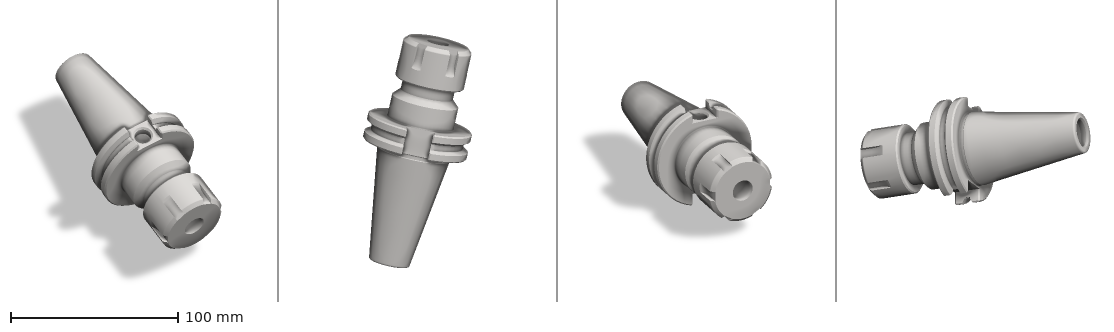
import cadquery as cq
import math

TOTAL_LENGTH = 137.4

TAPER_RATIO = 7 / 24
GAUGE_X = 68.3
GAUGE_DIA = 44.5
TAPER_END_FILLET = 1.2
RELIEF_DIA = 44.0
RELIEF_BEVEL_LENGTH = 0.4
ROOT_FILLET = 0.7

FLANGE_X = 71.3
FLANGE_WIDTH = 16.2
FLANGE_END_X = FLANGE_X + FLANGE_WIDTH
FLANGE_DIA = 63.5
FLANGE_CHAMFER = 0.8
FLANGE_MID_X = 79.4

GROOVE_MOUTH_WIDTH = 7.0
GROOVE_ROOT_WIDTH = 3.7
GROOVE_ROOT_DIA = 56.3
GROOVE_HALF_ANGLE = math.radians(30)

SLOT_WIDTH = 16.1
TOP_SLOT_FLOOR_Z = 24.6
BOTTOM_SLOT_FLOOR_Z = -22.5

DIMPLE_DIA = 10.0
DIMPLE_DEPTH = 5.4
DIMPLE_CHAMFER = 1.1
DIMPLE_TIP_DIA = 8.0
DIMPLE_TIP_ANGLE = math.radians(118)

SHANK_DIA = 40.5
SHANK_END_X = 101.1
NECK_DIA = 32.0

BORE_DIA = 13.3
PILOT_DIA = 16.5
PILOT_END_X = 4.7
COUNTERSINK_DIA = 18.0
COUNTERSINK_HALF_ANGLE = math.radians(30)

NUT_X = 112.4
NUT_DIA = 42.0
NUT_BACK_CHAMFER = 0.8
NUT_FRONT_CHAMFER = 2.3
NUT_RIM_FILLET = 0.7
NOTCH_COUNT = 6
NOTCH_WIDTH = 6.2
NOTCH_FLOOR_RADIUS = 18.4
NOTCH_FLAT_LENGTH = 7.8
NOTCH_RUNOUT_RADIUS = 13.0


def revolve_about_x(outline):
    """Turn a closed (x, radius) outline once round the X axis."""
    return cq.Workplane("XY").polyline(outline).close().revolve(360, (0, 0, 0), (1, 0, 0))


def make_core():
    """Taper, relief, shank and neck as one turned solid, with root fillets at the flange faces."""
    small_radius = (GAUGE_DIA - GAUGE_X * TAPER_RATIO) / 2
    relief_radius = RELIEF_DIA / 2
    shank_radius = SHANK_DIA / 2
    neck_radius = NECK_DIA / 2
    neck_x = SHANK_END_X + shank_radius - neck_radius
    core = (
        cq.Workplane("XY")
        .lineTo(0, small_radius)
        .lineTo(GAUGE_X, GAUGE_DIA / 2)
        .lineTo(GAUGE_X + RELIEF_BEVEL_LENGTH, relief_radius)
        .lineTo(FLANGE_X - ROOT_FILLET, relief_radius)
        .radiusArc((FLANGE_X, relief_radius + ROOT_FILLET), -ROOT_FILLET)
        .lineTo(FLANGE_END_X, shank_radius + ROOT_FILLET)
        .radiusArc((FLANGE_END_X + ROOT_FILLET, shank_radius), -ROOT_FILLET)
        .lineTo(SHANK_END_X, shank_radius)
        .lineTo(neck_x, neck_radius)
        .lineTo(TOTAL_LENGTH, neck_radius)
        .lineTo(TOTAL_LENGTH, 0)
        .close()
        .revolve(360, (0, 0, 0), (1, 0, 0))
    )
    return core.faces("<X").edges().fillet(TAPER_END_FILLET)


def make_drive_slot(floor_z):
    """Block that cuts from the slot floor out past the rim, on the side the floor lies."""
    depth = math.copysign(FLANGE_DIA / 2, floor_z)
    return (
        cq.Workplane("XY", origin=(FLANGE_X + FLANGE_WIDTH / 2, 0, floor_z))
        .rect(2 * FLANGE_WIDTH, SLOT_WIDTH)
        .extrude(depth)
    )


def make_rim_groove():
    rim_radius = FLANGE_DIA / 2
    mouth_half = GROOVE_MOUTH_WIDTH / 2
    root_half = GROOVE_ROOT_WIDTH / 2
    root_radius = GROOVE_ROOT_DIA / 2
    flank_end_radius = rim_radius - (mouth_half - root_half) / math.tan(GROOVE_HALF_ANGLE)
    return revolve_about_x([
        (FLANGE_MID_X - mouth_half, rim_radius),
        (FLANGE_MID_X - root_half, flank_end_radius),
        (FLANGE_MID_X - root_half, root_radius),
        (FLANGE_MID_X + root_half, root_radius),
        (FLANGE_MID_X + root_half, flank_end_radius),
        (FLANGE_MID_X + mouth_half, rim_radius),
    ])


def make_flange():
    flange = cq.Workplane("YZ", origin=(FLANGE_X, 0, 0)).circle(FLANGE_DIA / 2).extrude(FLANGE_WIDTH)
    for floor_z in (TOP_SLOT_FLOOR_Z, BOTTOM_SLOT_FLOOR_Z):
        flange = flange.cut(make_drive_slot(floor_z))

    face_edges = flange.faces("|X").edges("not |Y")
    slot_corners = flange.edges("|X").edges(">Z or <Z")
    flange = face_edges.add(slot_corners).chamfer(FLANGE_CHAMFER)
    return flange.cut(make_rim_groove())


def make_dimple():
    """Chamfered round hole with a narrower conical tip, sunk from the top slot floor."""
    mouth_radius = DIMPLE_DIA / 2 + DIMPLE_CHAMFER
    tip_radius = DIMPLE_TIP_DIA / 2
    bottom_z = TOP_SLOT_FLOOR_Z - DIMPLE_DEPTH
    tip_z = bottom_z - tip_radius / math.tan(DIMPLE_TIP_ANGLE / 2)
    return (
        cq.Workplane("XZ", origin=(FLANGE_MID_X, 0, 0))
        .polyline([
            (0, TOP_SLOT_FLOOR_Z),
            (mouth_radius, TOP_SLOT_FLOOR_Z),
            (DIMPLE_DIA / 2, TOP_SLOT_FLOOR_Z - DIMPLE_CHAMFER),
            (DIMPLE_DIA / 2, bottom_z),
            (tip_radius, bottom_z),
            (0, tip_z),
        ])
        .close()
        .revolve(360, (0, 0, 0), (0, 1, 0))
    )


def make_bore():
    """Through bore with a countersunk pilot at the small end of the taper."""
    countersink_depth = (COUNTERSINK_DIA - PILOT_DIA) / 2 / math.tan(COUNTERSINK_HALF_ANGLE)
    pilot_cone_length = (PILOT_DIA - BORE_DIA) / 2
    return revolve_about_x([
        (0, 0),
        (0, COUNTERSINK_DIA / 2),
        (countersink_depth, PILOT_DIA / 2),
        (PILOT_END_X, PILOT_DIA / 2),
        (PILOT_END_X + pilot_cone_length, BORE_DIA / 2),
        (TOTAL_LENGTH, BORE_DIA / 2),
        (TOTAL_LENGTH, 0),
    ])


def make_holder():
    holder = make_core().union(make_flange())
    holder = holder.cut(make_drive_slot(BOTTOM_SLOT_FLOOR_Z))
    return holder.cut(make_dimple()).cut(make_bore())


def make_notch():
    """Spanner notch at the +Z side of the nut: a flat floor with a cutter runout behind it."""
    runout_x = TOTAL_LENGTH - NOTCH_FLAT_LENGTH
    outside_radius = NOTCH_FLOOR_RADIUS + NOTCH_RUNOUT_RADIUS
    return (
        cq.Workplane("XZ")
        .moveTo(TOTAL_LENGTH, NOTCH_FLOOR_RADIUS)
        .lineTo(runout_x, NOTCH_FLOOR_RADIUS)
        .radiusArc((runout_x - NOTCH_RUNOUT_RADIUS, outside_radius), NOTCH_RUNOUT_RADIUS)
        .lineTo(TOTAL_LENGTH, outside_radius)
        .close()
        .extrude(NOTCH_WIDTH / 2, both=True)
    )


def make_nut():
    """Ring that fits over the neck and ends flush with it."""
    chamfer_edge_x = TOTAL_LENGTH - NUT_FRONT_CHAMFER
    blank = (
        cq.Workplane("YZ", origin=(NUT_X, 0, 0))
        .circle(NUT_DIA / 2)
        .extrude(TOTAL_LENGTH - NUT_X)
        .faces("<X").chamfer(NUT_BACK_CHAMFER)
        .faces(">X").chamfer(NUT_FRONT_CHAMFER)
    )
    rim_zone = cq.selectors.BoxSelector(
        (chamfer_edge_x - NUT_RIM_FILLET, -NUT_DIA, -NUT_DIA),
        (chamfer_edge_x + NUT_RIM_FILLET, NUT_DIA, NUT_DIA),
    )
    nut = blank.edges("%CIRCLE").edges(rim_zone).fillet(NUT_RIM_FILLET)
    nut = nut.cut(cq.Workplane("YZ").circle(NECK_DIA / 2).extrude(TOTAL_LENGTH))
    for index in range(NOTCH_COUNT):
        angle = 90 + index * 360 / NOTCH_COUNT
        nut = nut.cut(make_notch().rotate((0, 0, 0), (1, 0, 0), angle))
    return nut


holder = make_holder()
nut = make_nut()
result = cq.Compound.makeCompound([holder.val(), nut.val()])